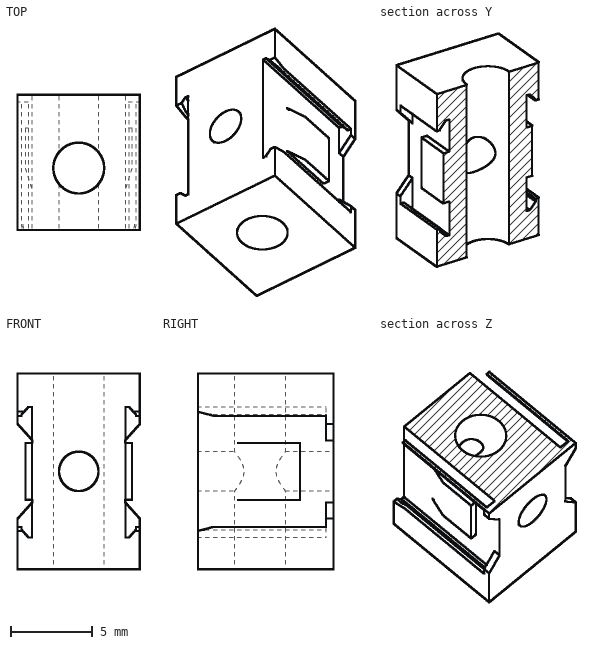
import cadquery as cq

WIDTH = 7.5
DEPTH = 8.3
HEIGHT = 12.0
SIDE_X = WIDTH / 2
FRONT_Y = -DEPTH / 2
BACK_Y = DEPTH / 2

VERTICAL_BORE_DIAMETER = 3.1
VERTICAL_BORE_Y = -0.35
CROSS_BORE_DIAMETER = 2.4

GROOVE_DEPTH = 0.9
GROOVE_FLOOR_X = SIDE_X - GROOVE_DEPTH
GROOVE_MOUTH_HALF = 3.4
LIP_THICKNESS = 0.25
UNDERCUT_CENTRE_Z = -0.05
UNDERCUT_FLOOR_HALF = 4.0
UNDERCUT_LIP_HALF = 3.53
UNDERCUT_SLOPE_END_DEPTH = 0.68
STOP_THICKNESS = 0.45

FLARE_LENGTH = 0.95
FLARE_RISE = 0.25

OPENING_FLOOR_HALF = 1.9
OPENING_MOUTH_HALF = 2.9

PAD_HEIGHT = 0.415
PAD_HALF_HEIGHT = 1.75
PAD_BACK_Y = BACK_Y - 2.05
PAD_CREST_Y = BACK_Y - 4.5
PAD_FRONT_Y = BACK_Y - 5.84


def symmetric_prism(upper_half, back_y, centre_z=0.0):
    """Mirror an upper (x, z) outline about Z = centre_z and extrude it from the front to back_y."""
    lower_half = [(x, -z) for x, z in reversed(upper_half)]
    workplane = cq.Workplane("XZ", origin=(0, back_y, centre_z))
    return workplane.polyline(upper_half + lower_half).close().extrude(back_y - FRONT_Y)


def make_groove():
    """Undercut channel open at the front face, ending at the stop wall."""
    stop_y = BACK_Y - STOP_THICKNESS
    mouth = symmetric_prism(
        [(SIDE_X, GROOVE_MOUTH_HALF), (GROOVE_FLOOR_X, GROOVE_MOUTH_HALF)],
        stop_y,
    )
    undercut = symmetric_prism(
        [
            (SIDE_X - LIP_THICKNESS, UNDERCUT_LIP_HALF),
            (SIDE_X - UNDERCUT_SLOPE_END_DEPTH, UNDERCUT_FLOOR_HALF),
            (GROOVE_FLOOR_X, UNDERCUT_FLOOR_HALF),
        ],
        stop_y,
        UNDERCUT_CENTRE_Z,
    )
    return mouth.union(undercut)


def make_opening():
    """Tapered passage that runs through the stop wall to the back face."""
    upper_half = [(SIDE_X, OPENING_MOUTH_HALF), (GROOVE_FLOOR_X, OPENING_FLOOR_HALF)]
    return symmetric_prism(upper_half, BACK_Y)


def make_flare():
    """Wedge that widens the groove mouth towards the front face."""
    flare_half = GROOVE_MOUTH_HALF + FLARE_RISE
    flare_end_y = FRONT_Y + FLARE_LENGTH
    profile = [
        (FRONT_Y, flare_half),
        (flare_end_y, GROOVE_MOUTH_HALF),
        (flare_end_y, -GROOVE_MOUTH_HALF),
        (FRONT_Y, -flare_half),
    ]
    workplane = cq.Workplane("YZ", origin=(GROOVE_FLOOR_X, 0, 0))
    return workplane.polyline(profile).close().extrude(GROOVE_DEPTH)


def make_pad():
    """Ramped latch pad standing on the groove floor."""
    profile = [
        (GROOVE_FLOOR_X, PAD_BACK_Y),
        (GROOVE_FLOOR_X + PAD_HEIGHT, PAD_BACK_Y),
        (GROOVE_FLOOR_X + PAD_HEIGHT, PAD_CREST_Y),
        (GROOVE_FLOOR_X, PAD_FRONT_Y),
    ]
    workplane = cq.Workplane("XY").polyline(profile).close()
    return workplane.extrude(PAD_HALF_HEIGHT, both=True)


def make_side_recess():
    """Complete volume removed from the +X side of the block."""
    channel = make_groove().union(make_opening()).union(make_flare())
    return channel.cut(make_pad())


def make_vertical_bore():
    bore = cq.Workplane("XY").center(0, VERTICAL_BORE_Y)
    return bore.circle(VERTICAL_BORE_DIAMETER / 2).extrude(HEIGHT / 2, both=True)


def make_cross_bore():
    bore = cq.Workplane("XZ").circle(CROSS_BORE_DIAMETER / 2)
    return bore.extrude(DEPTH / 2, both=True)


side_recess = make_side_recess()

result = (
    cq.Workplane("XY")
    .box(WIDTH, DEPTH, HEIGHT)
    .cut(side_recess)
    .cut(side_recess.mirror("YZ"))
    .cut(make_vertical_bore())
    .cut(make_cross_bore())
)